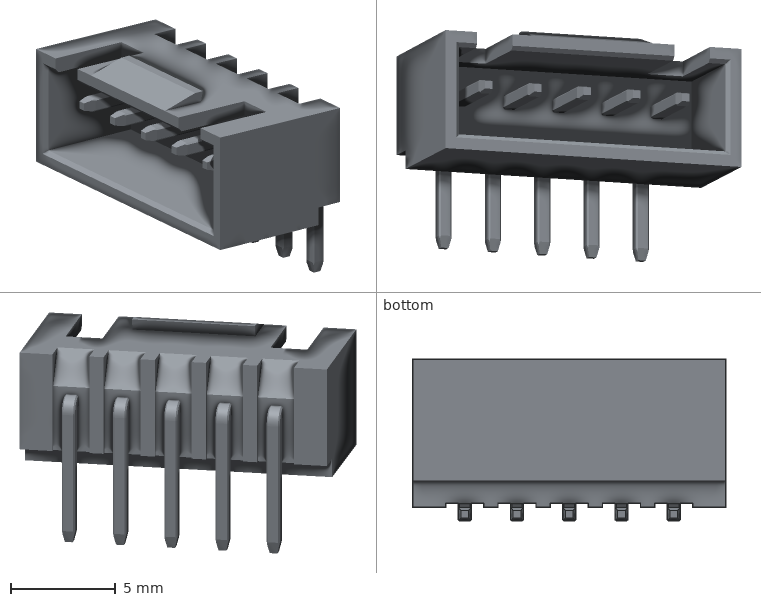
import cadquery as cq

LENGTH = 15
DEPTH = 7.1
HEIGHT = 5.75
REAR_HEIGHT_LOSS = 0.05
WALL = 0.75
CAVITY_DEPTH = 5.07
LEAD_IN = 0.2
STEP_DEPTH = 1.28
STEP_HEIGHT = 0.9

PIN_COUNT = 5
PITCH = LENGTH / (PIN_COUNT + 1)
PIN_WIDTH = 0.65
PIN_CHAMFER = 0.08
PIN_AXIS_HEIGHT = 3.39
PIN_DROP = 3.44
PIN_FRONT_SETBACK = 0.9
BEND_RADIUS = 0.48
TIP_LENGTH = 0.57
TIP_WIDTH = 0.38

SLOT_WIDTH = 1.8
SLOT_DEPTH = STEP_DEPTH
SLOT_LOWER_DEPTH = 0.2
SLOT_RAMP_DROP = 1.66
WINDOW_DEPTH = 3.9

LATCH_WIDTH = 6
LATCH_HEIGHT = 0.52
LATCH_FLAT_START = 1.78
LATCH_REAR_TOP = 2.25
LATCH_REAR_BOTTOM = 2.12

pin_positions = [(i - (PIN_COUNT - 1) / 2) * PITCH for i in range(PIN_COUNT)]


def extrude_profile(points, x_center, width):
    """Extrude a (Y, Z) outline along X, centred on x_center."""
    plane = cq.Workplane("YZ", origin=(x_center, 0, 0))
    return plane.polyline(points).close().extrude(width / 2, both=True)


def make_shell():
    step_front = DEPTH - STEP_DEPTH
    outline = [
        (0, 0),
        (step_front, 0),
        (step_front, STEP_HEIGHT),
        (DEPTH, STEP_HEIGHT),
        (DEPTH, HEIGHT - REAR_HEIGHT_LOSS),
        (0, HEIGHT),
    ]
    return extrude_profile(outline, 0, LENGTH)


def make_cavity():
    """Mating cavity, open at the front, with a bevelled mouth."""
    width = LENGTH - 2 * WALL
    height = HEIGHT - 2 * WALL
    front = cq.Workplane("XZ", origin=(0, 0, HEIGHT / 2))
    pocket = front.rect(width, height).extrude(-CAVITY_DEPTH)
    mouth = (
        front.rect(width + 2 * LEAD_IN, height + 2 * LEAD_IN)
        .workplane(offset=-LEAD_IN)
        .rect(width, height)
        .loft()
    )
    return pocket.union(mouth)


def make_window(x):
    """Opening through the roof, from the front edge to above the pin."""
    bottom = HEIGHT / 2
    outline = [(0, bottom), (WINDOW_DEPTH, bottom), (WINDOW_DEPTH, HEIGHT), (0, HEIGHT)]
    return extrude_profile(outline, x, SLOT_WIDTH)


def make_rear_slot(x):
    """Slot down the back, shallow at the pin and ramped at the top."""
    lower_front = DEPTH - SLOT_LOWER_DEPTH
    outline = [
        (DEPTH, 0),
        (lower_front, 0),
        (lower_front, HEIGHT - SLOT_RAMP_DROP),
        (DEPTH - SLOT_DEPTH, HEIGHT),
        (DEPTH, HEIGHT),
    ]
    return extrude_profile(outline, x, SLOT_WIDTH)


def make_latch():
    foot = HEIGHT - REAR_HEIGHT_LOSS
    top = HEIGHT + LATCH_HEIGHT
    outline = [
        (0, foot),
        (0, HEIGHT),
        (LATCH_FLAT_START, top),
        (LATCH_REAR_TOP, top),
        (LATCH_REAR_BOTTOM, foot),
    ]
    return extrude_profile(outline, 0, LATCH_WIDTH)


def make_tip(plane):
    """Tapered pin end that grows along the normal of the plane."""
    bar = cq.Workplane(plane).rect(PIN_WIDTH, PIN_WIDTH).extrude(TIP_LENGTH)
    bar = bar.edges(cq.selectors.ParallelDirSelector(plane.zDir)).chamfer(PIN_CHAMFER)
    taper = (
        cq.Workplane(plane)
        .rect(PIN_WIDTH, PIN_WIDTH)
        .workplane(offset=TIP_LENGTH)
        .rect(TIP_WIDTH, TIP_WIDTH)
        .loft()
    )
    return taper.intersect(bar)


def make_pin(x):
    """Right-angle pin with bevelled edges and two tapered ends."""
    front = PIN_FRONT_SETBACK + TIP_LENGTH
    leg = DEPTH + PIN_WIDTH / 2
    bottom = TIP_LENGTH - PIN_DROP

    front_plane = cq.Plane(origin=(x, front, PIN_AXIS_HEIGHT), xDir=(1, 0, 0), normal=(0, -1, 0))
    leg_plane = cq.Plane(origin=(x, leg, bottom), xDir=(1, 0, 0), normal=(0, 0, -1))
    section = cq.Sketch().rect(PIN_WIDTH, PIN_WIDTH).vertices().chamfer(PIN_CHAMFER)
    axis = (
        cq.Workplane("YZ", origin=(x, 0, 0))
        .moveTo(front, PIN_AXIS_HEIGHT)
        .lineTo(leg - BEND_RADIUS, PIN_AXIS_HEIGHT)
        .radiusArc((leg, PIN_AXIS_HEIGHT - BEND_RADIUS), BEND_RADIUS)
        .lineTo(leg, bottom)
    )
    bar = cq.Workplane(front_plane).placeSketch(section).sweep(axis)
    return bar.union(make_tip(front_plane)).union(make_tip(leg_plane))


result = make_shell().cut(make_cavity())
for x in (pin_positions[0], pin_positions[-1]):
    result = result.cut(make_window(x))
for x in pin_positions:
    result = result.cut(make_rear_slot(x))
result = result.union(make_latch())
for x in pin_positions:
    result = result.union(make_pin(x))